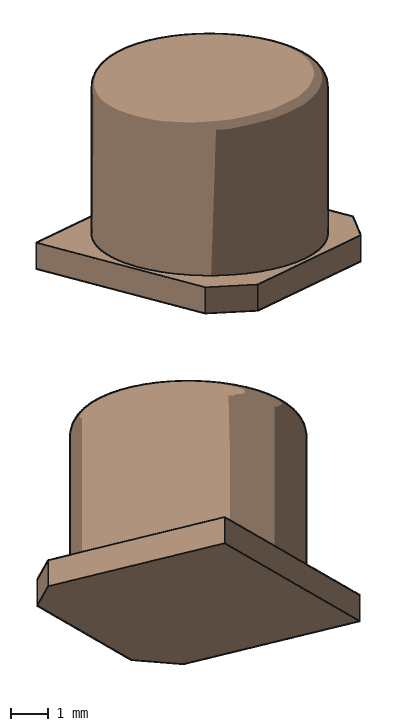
import cadquery as cq

base_width = 6.6
total_height = 5.4

base_thickness = 0.75
corner_chamfer = 1.0

can_diameter = 6.3
can_edge_radius = 0.5
can_height = total_height - base_thickness


def make_base():
    """Square plate resting on Z = 0, with both +X corners cut off."""
    plate = cq.Workplane("XY").box(
        base_width, base_width, base_thickness, centered=(True, True, False)
    )
    return plate.edges("|Z and >X").chamfer(corner_chamfer)


def make_can():
    """Upright can on the plate, with a rounded top rim."""
    can = cq.Workplane("XY", origin=(0, 0, base_thickness))
    can = can.circle(can_diameter / 2).extrude(can_height)
    return can.faces(">Z").edges().fillet(can_edge_radius)


result = make_base().union(make_can())